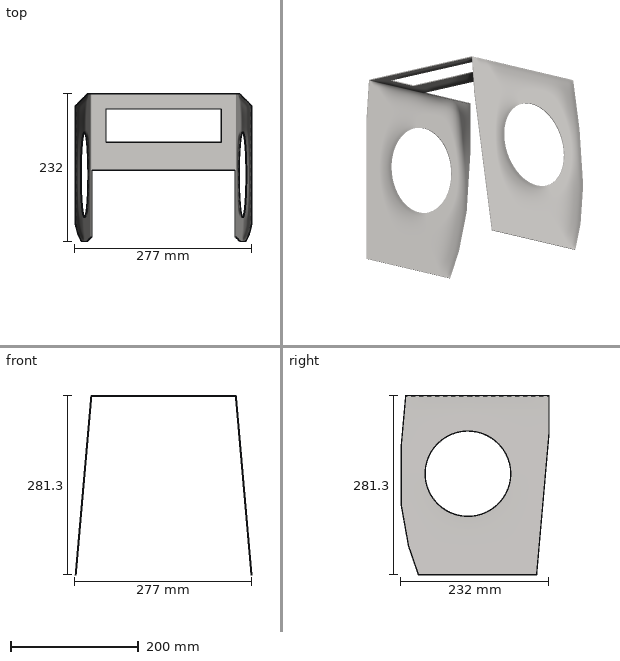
import cadquery as cq
import math

thickness = 1.5
inner_bend_radius = 0.75
outer_bend_radius = inner_bend_radius + thickness
leg_splay = 5.0
bend_angle = 90.0 - leg_splay

inside_width = 225.0
plate_depth = 120.5
bend_setback = inner_bend_radius * math.tan(math.radians(bend_angle / 2))
plate_width = inside_width - 2 * bend_setback

window_width = 180.0
window_depth = 51.6
window_back_margin = 24.4

leg_length = 280.23
leg_top_depth = 225.0
leg_max_depth = 231.97
back_taper_drop = 58.5
back_taper_inset = 19.4
front_upper_drop = 78.0
front_lower_drop = 170.0
front_knee_drop = 234.5
front_knee_depth = 220.5
leg_bottom_front_depth = 204.9

hole_diameter = 134.0
hole_drop = 121.2
hole_depth_from_back = 127.2


def make_plate():
    """Flat top plate with its rectangular window."""
    plate = cq.Workplane("XY").box(plate_width, plate_depth, thickness, centered=(True, False, False))
    window = cq.Workplane("XY").box(window_width, window_depth, thickness, centered=(True, False, False))
    window_front = plate_depth - window_back_margin - window_depth
    window = window.translate((0, window_front, 0))
    return plate.cut(window).translate((0, -plate_depth, -thickness))


def make_leg():
    """Left leg, upright, with the bend axis along the Y axis."""
    outline = [
        (0, 0),
        (0, -back_taper_drop),
        (-back_taper_inset, -leg_length),
        (-leg_bottom_front_depth, -leg_length),
        (-front_knee_depth, -front_knee_drop),
        (-leg_max_depth, -front_lower_drop),
        (-leg_max_depth, -front_upper_drop),
        (-leg_top_depth, 0),
    ]
    outer_face = cq.Workplane("YZ", origin=(-outer_bend_radius, 0, 0))
    leg = outer_face.polyline(outline).close().extrude(thickness)
    hole = (
        outer_face.center(-hole_depth_from_back, -hole_drop)
        .circle(hole_diameter / 2)
        .extrude(thickness)
    )
    return leg.cut(hole)


def make_bend():
    """Left bend, swept from the top of the upright leg about the Y axis toward the plate."""
    return (
        cq.Workplane("XY")
        .moveTo(-outer_bend_radius, -leg_top_depth)
        .rect(thickness, leg_top_depth, centered=False)
        .revolve(bend_angle, (0, 0, 0), (0, 1, 0))
    )


def make_side():
    """Left leg and bend, splayed outward and set against the plate's left edge."""
    side = make_leg().union(make_bend())
    splayed = side.rotate((0, 0, 0), (0, 1, 0), leg_splay)
    return splayed.translate((-plate_width / 2, 0, -outer_bend_radius))


left_side = make_side()
right_side = left_side.mirror("YZ")
result = make_plate().union(left_side).union(right_side)